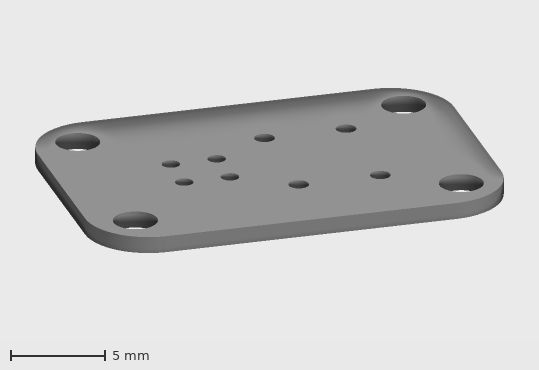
import cadquery as cq

width = 16.0
length = 23
thickness = 0.92
corner_radius = 3.5

mount_diameter = 2.4
mount_spacing_x = 11.0
mount_spacing_y = 18.0

upper_diameter = 1.1
upper_spacing_x = 6.5
upper_spacing_y = 4.5
upper_center_y = 2.92

lower_diameter = 1.0
lower_pitch = 2.53
lower_center_y = -3.82


def drill_four(plate, diameter, spacing_x, spacing_y, center_y=0):
    """Drill a 2 x 2 pattern of through holes centred on X = 0."""
    return (
        plate.faces(">Z")
        .workplane(origin=(0, center_y, thickness))
        .rarray(spacing_x, spacing_y, 2, 2)
        .hole(diameter)
    )


plate = (
    cq.Workplane("XY")
    .box(width, length, thickness, centered=(True, True, False))
    .edges("|Z")
    .fillet(corner_radius)
)
plate = drill_four(plate, mount_diameter, mount_spacing_x, mount_spacing_y)
plate = drill_four(plate, upper_diameter, upper_spacing_x, upper_spacing_y, upper_center_y)
result = drill_four(plate, lower_diameter, lower_pitch, lower_pitch, lower_center_y)